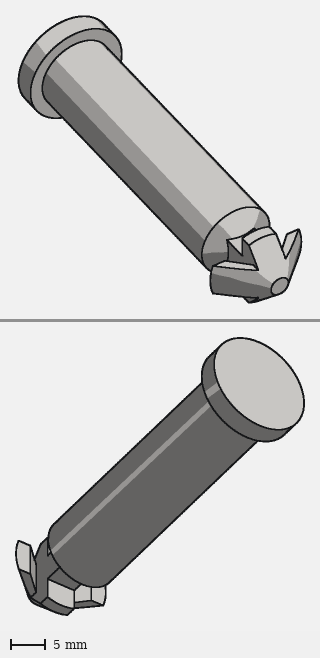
import cadquery as cq

length = 57.05
flange_diameter = 15.5
flange_thickness = 3.2
shank_diameter = 11.5
shank_end = 45.4
nose_end = 47.25
nose_tip_radius = 2.0

neck_width = 4.6
neck_height = 4.35

head_start = 50.7
blade_diameter = 12.0
tip_radius = 1.5
barb_span = flange_diameter
barb_height = 5.3
barb_inner_y = 5.25

head_length = length - head_start
barb_radius = barb_span / 2
blade_radius = blade_diameter / 2
axis_start, axis_end = (0, 0, 0), (1, 0, 0)


def make_body():
    """Flange, round shank and tapered nose as one turned profile."""
    flange_radius = flange_diameter / 2
    shank_radius = shank_diameter / 2
    profile = cq.Workplane("XY").polyline([
        (0, 0),
        (0, flange_radius),
        (flange_thickness, flange_radius),
        (flange_thickness, shank_radius),
        (shank_end, shank_radius),
        (nose_end, nose_tip_radius),
        (nose_end, 0),
    ]).close()
    return profile.revolve(360, axis_start, axis_end)


def x_box(start, end, width, height):
    """Box along X, centred on the axis."""
    return cq.Workplane("YZ", origin=(start, 0, 0)).rect(width, height).extrude(end - start)


def make_tip_cone():
    """Cone that bounds both the blade and the barbs."""
    profile = cq.Workplane("XY").polyline([
        (head_start, 0),
        (head_start, barb_radius),
        (length, tip_radius),
        (length, 0),
    ]).close()
    return profile.revolve(360, axis_start, axis_end)


def make_blade(cone):
    """Central blade, rounded to a cylinder behind the cone."""
    cylinder = cq.Workplane("YZ", origin=(head_start, 0, 0)).circle(blade_radius).extrude(head_length)
    slab = x_box(head_start, length, neck_width, blade_diameter)
    return cone.intersect(cylinder).intersect(slab)


def make_barbs(cone):
    """Two swept-back barbs, with flat 45 degree inner faces."""
    root_y = neck_width / 2
    root_x = head_start + barb_inner_y - root_y
    barbs = cone.intersect(x_box(head_start, length, barb_span, barb_height))
    for side in (1, -1):
        gap = cq.Workplane("XY").polyline([
            (head_start, side * root_y),
            (head_start, side * barb_inner_y),
            (root_x, side * root_y),
        ]).close().extrude(barb_height, both=True)
        barbs = barbs.cut(gap)
    return barbs


tip_cone = make_tip_cone()
neck = x_box(shank_end, head_start, neck_width, neck_height)
result = make_body().union(neck).union(make_blade(tip_cone)).union(make_barbs(tip_cone))